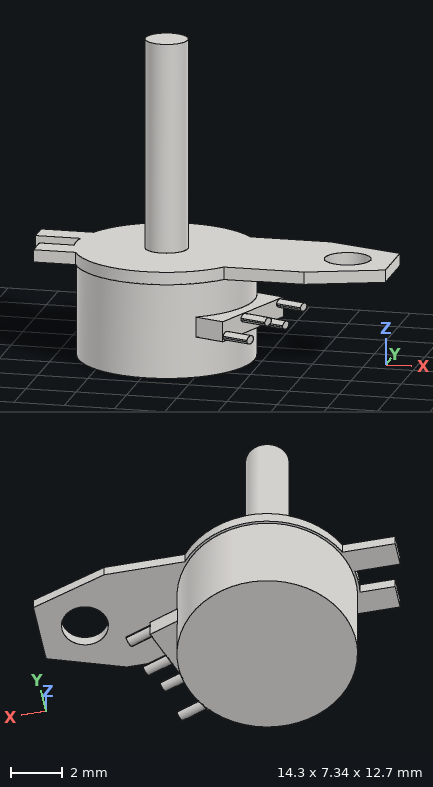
import cadquery as cq

body_radius = 3.5
body_height = 3.8
shaft_radius = 0.85
shaft_length = 8.4

plate_radius = 3.6
plate_thickness = 0.5
overall_length = 14.35
arm_end_x = 9.0
arm_taper_x = 6.0
arm_half_width = 2.25
arm_end_half_width = 1.25
mount_hole_x = 7.2
mount_hole_radius = 0.9

tab_inner_y = 0.5
tab_outer_y = 1.5
long_tab_x = arm_end_x - overall_length
short_tab_x = -4.95

connector_angle = -20
connector_reach = 4.0
connector_width = 4.3
connector_height = 0.8
connector_mid_z = 2.02

pin_count = 4
pin_pitch = 1.26
pin_row_spacing = 0.43
pin_end_reach = 5.11
pin_width = 0.47
pin_height = 0.33
pin_side_height = 0.06


def vertical_cylinder(radius, bottom_z, height):
    return cq.Workplane("XY").workplane(offset=bottom_z).circle(radius).extrude(height)


def make_tab(tip_x, center_y):
    """A plate tab running from its tip to the plate centre."""
    return (
        cq.Workplane("XY")
        .workplane(offset=body_height)
        .center(tip_x / 2, center_y)
        .rect(abs(tip_x), tab_outer_y - tab_inner_y)
        .extrude(plate_thickness)
    )


def make_plate():
    disc = vertical_cylinder(plate_radius, body_height, plate_thickness)
    arm = (
        cq.Workplane("XY")
        .workplane(offset=body_height)
        .moveTo(0, -arm_half_width)
        .lineTo(arm_taper_x, -arm_half_width)
        .lineTo(arm_end_x, -arm_end_half_width)
        .lineTo(arm_end_x, arm_end_half_width)
        .lineTo(arm_taper_x, arm_half_width)
        .lineTo(0, arm_half_width)
        .close()
        .extrude(plate_thickness)
    )
    mount_hole = vertical_cylinder(mount_hole_radius, body_height, plate_thickness).translate(
        (mount_hole_x, 0, 0)
    )
    tab_center_y = (tab_inner_y + tab_outer_y) / 2
    long_tab = make_tab(long_tab_x, tab_center_y)
    short_tab = make_tab(short_tab_x, -tab_center_y)
    return disc.union(arm).union(long_tab).union(short_tab).cut(mount_hole)


def make_connector():
    """Connector block with its pins, modelled along +X and then turned to its angle."""
    connector = cq.Workplane("XY").box(
        connector_reach, connector_width, connector_height, centered=(False, True, True)
    )
    for index in range(pin_count):
        pin_y = (index - (pin_count - 1) / 2) * pin_pitch
        row_side = 1 if index % 2 else -1
        pin_z = row_side * pin_row_spacing / 2
        pin = (
            cq.Workplane("YZ")
            .center(pin_y, pin_z)
            .moveTo(-pin_width / 2, pin_side_height / 2)
            .threePointArc((0, pin_height / 2), (pin_width / 2, pin_side_height / 2))
            .lineTo(pin_width / 2, -pin_side_height / 2)
            .threePointArc((0, -pin_height / 2), (-pin_width / 2, -pin_side_height / 2))
            .close()
            .extrude(pin_end_reach)
        )
        connector = connector.union(pin)
    return connector.translate((0, 0, connector_mid_z)).rotate((0, 0, 0), (0, 0, 1), connector_angle)


body = vertical_cylinder(body_radius, 0, body_height)
shaft = vertical_cylinder(shaft_radius, body_height, plate_thickness + shaft_length)

result = body.union(make_plate()).union(shaft).union(make_connector())